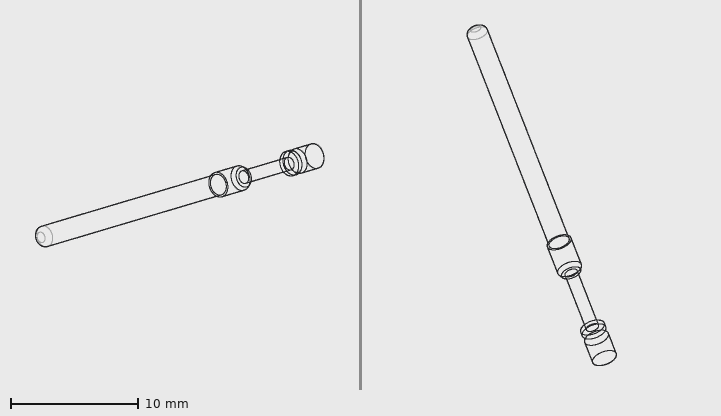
import cadquery as cq

total_length = 32.3
body_radius = 1.0
shank_radius = 0.52
rod_radius = 0.85
tip_fillet = 0.42

head_length = 3.0
cap_length = 2.0
flange_thickness = 0.4
groove_depth = 0.13

shank_length = 5.35
collar_length = 3.0
collar_taper_length = 0.4
collar_taper_depth = 0.2

head_end = total_length / 2
cap_end = head_end - cap_length
flange_bottom = head_end - head_length
flange_top = flange_bottom + flange_thickness
groove_middle = (cap_end + flange_top) / 2
collar_top = flange_bottom - shank_length
collar_bottom = collar_top - collar_length
rod_tip = -total_length / 2

groove_radius = body_radius - groove_depth

profile = (
    cq.Workplane("XY")
    .moveTo(0, head_end)
    .lineTo(body_radius, head_end)
    .lineTo(body_radius, cap_end)
    .threePointArc((groove_radius, groove_middle), (body_radius, flange_top))
    .lineTo(body_radius, flange_bottom)
    .lineTo(shank_radius, flange_bottom)
    .lineTo(shank_radius, collar_top)
    .lineTo(body_radius - collar_taper_depth, collar_top)
    .lineTo(body_radius, collar_top - collar_taper_length)
    .lineTo(body_radius, collar_bottom)
    .lineTo(rod_radius, collar_bottom)
    .lineTo(rod_radius, rod_tip)
    .lineTo(0, rod_tip)
    .close()
)
pin = profile.revolve(360, (0, 0, 0), (0, 1, 0))

result = pin.faces("<Y").edges().fillet(tip_fillet)